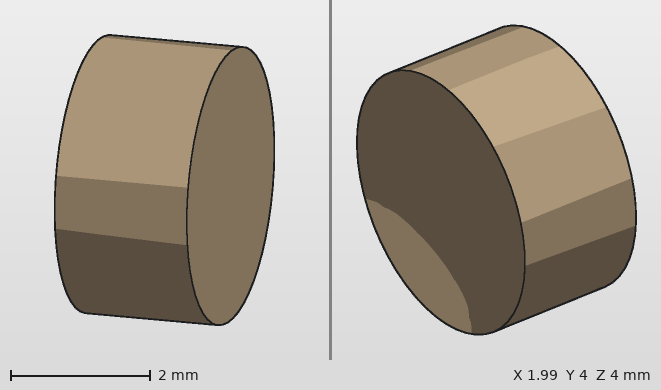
import cadquery as cq
import math

diameter = 4.0
edge_thickness = 1.99
dish_radius = 4.32

rim_radius = diameter / 2
dish_depth = dish_radius - math.sqrt(dish_radius**2 - rim_radius**2)

mid_radius = rim_radius / 2
mid_depth = dish_depth - dish_radius + math.sqrt(dish_radius**2 - mid_radius**2)

half_section = (
    cq.Workplane("XZ")
    .moveTo(dish_depth, 0)
    .threePointArc((mid_depth, mid_radius), (0, rim_radius))
    .lineTo(edge_thickness, rim_radius)
    .lineTo(edge_thickness, 0)
    .close()
)

result = half_section.revolve(360, (0, 0, 0), (1, 0, 0))